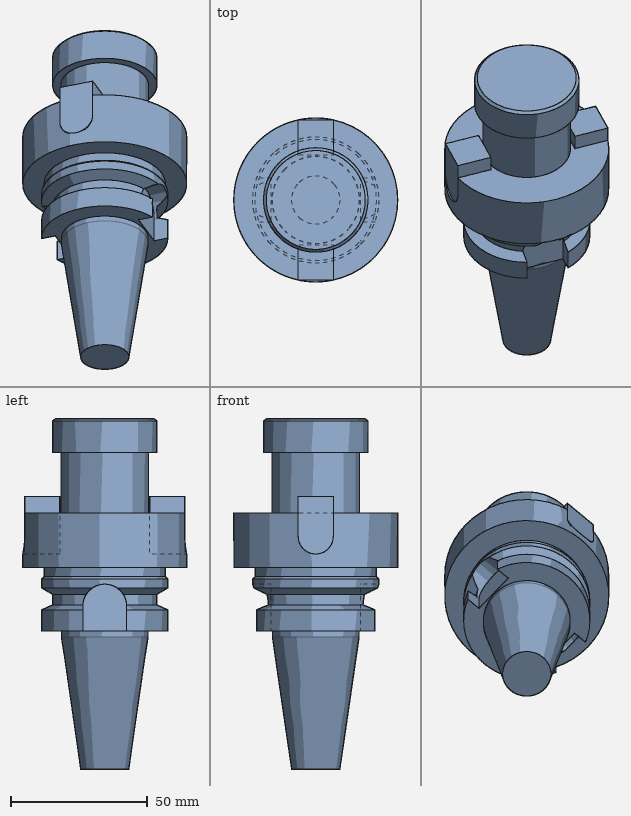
import cadquery as cq
import math

gauge_radius = 15.9
shank_length = 48.4
taper_ratio = 7 / 24
tip_radius = gauge_radius - shank_length * taper_ratio / 2

flange_radius = 23.0
flange_bottom = 50.5
lower_rim_top = 58.3
groove_radius = 19.1
groove_bottom = 60.1
groove_top = 63.9
upper_rim_bottom = 66.2
flange_top = 70.5
flange_chamfer = 0.9
neck_radius = flange_radius - flange_chamfer

slot_width = 16.0
slot_floor = 16.3
slot_top = 67.6

collar_radius = 30.0
collar_bottom = 73.7
collar_height = 20.0
collar_top = collar_bottom + collar_height
pilot_radius = 16.0
pilot_top = 115.7

key_width = 12.8
key_bottom = 78.7
key_top = 99.7
key_inner = 16.4
key_outer = math.sqrt(collar_radius**2 - (key_width / 2)**2)

head_radius = 19.1
overall_height = 128.1
head_chamfer_height = 0.9
head_chamfer_width = 1.0


def revolve_profile(points):
    """Revolve an outline of (radius, z) points about the Z axis."""
    return cq.Workplane("XZ").polyline(points).close().revolve(360, (0, 0), (0, 1))


def make_flange_slot():
    """Cutter for the -X drive slot: open below, with a round upper end."""
    half_width = slot_width / 2
    arc_center = slot_top - half_width
    return (
        cq.Workplane("YZ", origin=(-slot_floor, 0, 0))
        .moveTo(-half_width, flange_bottom)
        .lineTo(half_width, flange_bottom)
        .lineTo(half_width, arc_center)
        .threePointArc((0, slot_top), (-half_width, arc_center))
        .close()
        .extrude(slot_floor - flange_radius)
    )


def make_key_block(outer_distance):
    """Block on the -Y side with a flat top and a round lower end."""
    half_width = key_width / 2
    arc_center = key_bottom + half_width
    return (
        cq.Workplane("XZ", origin=(0, -key_inner, 0))
        .moveTo(-half_width, key_top)
        .lineTo(half_width, key_top)
        .lineTo(half_width, arc_center)
        .threePointArc((0, key_bottom), (-half_width, arc_center))
        .close()
        .extrude(outer_distance - key_inner)
    )


def turn(body, angle):
    """Turn a body about the Z axis."""
    return body.rotate((0, 0, 0), (0, 0, 1), angle)


def make_arbor():
    """Turned arbor with two flange slots and two key seats in the collar."""
    arbor = revolve_profile([
        (0, 0),
        (tip_radius, 0),
        (gauge_radius, shank_length),
        (gauge_radius, flange_bottom),
        (flange_radius, flange_bottom),
        (flange_radius, lower_rim_top),
        (groove_radius, groove_bottom),
        (groove_radius, groove_top),
        (flange_radius, upper_rim_bottom),
        (flange_radius, flange_top - flange_chamfer),
        (neck_radius, flange_top),
        (neck_radius, collar_bottom),
        (collar_radius, collar_bottom),
        (collar_radius, collar_top),
        (pilot_radius, collar_top),
        (pilot_radius, pilot_top),
        (0, pilot_top),
    ])
    for angle in (0, 180):
        arbor = arbor.cut(turn(make_flange_slot(), angle))
        arbor = arbor.cut(turn(make_key_block(collar_radius), angle))
    return arbor


def make_key(angle):
    """One drive key, ending where its sides meet the collar rim."""
    return turn(make_key_block(key_outer), angle)


def make_head():
    """Retaining head with a chamfered top edge."""
    return revolve_profile([
        (0, pilot_top),
        (head_radius, pilot_top),
        (head_radius, overall_height - head_chamfer_height),
        (head_radius - head_chamfer_width, overall_height),
        (0, overall_height),
    ])


arbor = make_arbor()
keys = [make_key(angle) for angle in (0, 180)]
head = make_head()

result = cq.Compound.makeCompound([arbor.val(), *[key.val() for key in keys], head.val()])